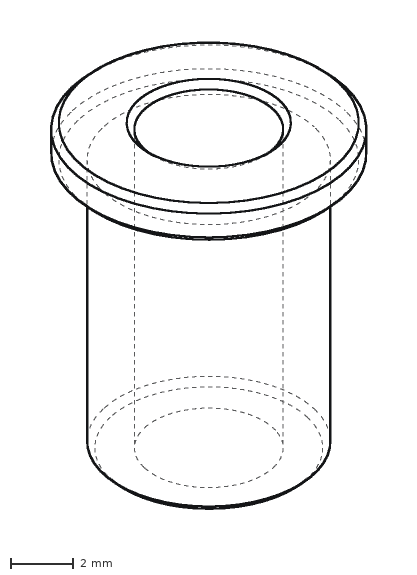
import cadquery as cq

total_height = 12.4
flange_diameter = 10.17
flange_thickness = 1.4
sleeve_diameter = 7.85
bore_diameter = 4.8
edge_chamfer = 0.25
mouth_angle = 90.0

sleeve = (
    cq.Workplane("XY")
    .circle(sleeve_diameter / 2)
    .extrude(total_height)
    .faces("<Z")
    .chamfer(edge_chamfer)
)

flange = (
    cq.Workplane("XY", origin=(0, 0, total_height - flange_thickness))
    .circle(flange_diameter / 2)
    .extrude(flange_thickness)
    .faces("<Z or >Z")
    .chamfer(edge_chamfer)
)

result = (
    sleeve.union(flange)
    .faces(">Z")
    .workplane(origin=(0, 0, total_height))
    .cskHole(bore_diameter, bore_diameter + 2 * edge_chamfer, mouth_angle)
)